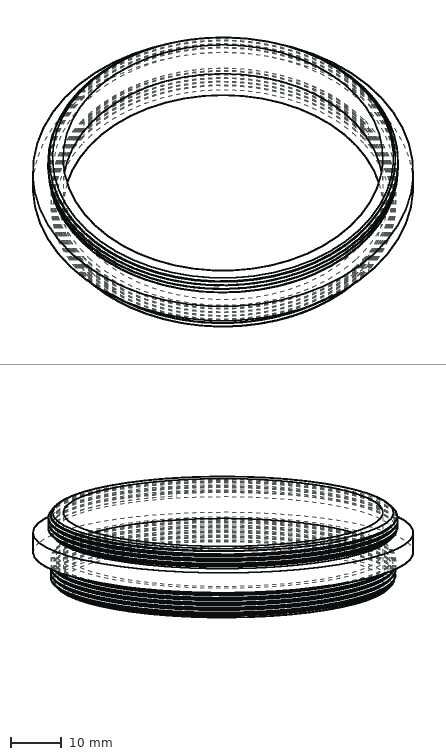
import cadquery as cq
import math


FLANGE_DIAMETER = 75.0
BORE_DIAMETER = 63.0
UPPER_THREAD_DIAMETER = 69.0
LOWER_THREAD_DIAMETER = 68.0
FLANGE_HEIGHT = 4.0
UPPER_THREAD_LENGTH = 4.05
LOWER_THREAD_LENGTH = 6.0
TURNS_IN_LOWER_THREAD = 6
END_CHAMFER = 0.9
GROOVE_OVERSHOOT = 0.04

PITCH = LOWER_THREAD_LENGTH / TURNS_IN_LOWER_THREAD
ROOT_WIDTH = PITCH / 4
THREAD_DEPTH = 5 / 8 * PITCH * math.cos(math.radians(30))
FLANK_SLOPE = math.tan(math.radians(30))


def chamfered_cylinder(radius, bottom, height):
    """Cylinder with both end edges bevelled."""
    cylinder = cq.Workplane("XY").workplane(offset=bottom).circle(radius).extrude(height)
    return cylinder.faces("|Z").edges().chamfer(END_CHAMFER)


def groove_turn(crest_radius, start):
    """One full turn of the helical V groove, beginning on +X at the start level."""
    root_radius = crest_radius - THREAD_DEPTH
    mouth_radius = crest_radius + GROOVE_OVERSHOOT
    half_root = ROOT_WIDTH / 2
    half_mouth = half_root + (mouth_radius - root_radius) * FLANK_SLOPE
    helix = cq.Wire.makeHelix(PITCH, PITCH, root_radius, center=cq.Vector(0, 0, start))
    profile = cq.Workplane("XZ").polyline([
        (root_radius, start - half_root),
        (mouth_radius, start - half_mouth),
        (mouth_radius, start + half_mouth),
        (root_radius, start + half_root),
    ]).close()
    return profile.sweep(cq.Workplane(obj=helix), isFrenet=True)


def threaded_rod(diameter, bottom, height):
    """Solid male thread with bevelled ends and a crest on +X at the bottom level."""
    crest_radius = diameter / 2
    rod = chamfered_cylinder(crest_radius, bottom, height)
    turns = math.ceil(height / PITCH)
    for turn in range(turns):
        start = bottom + (turn - 1 / 2) * PITCH
        rod = rod.cut(groove_turn(crest_radius, start), clean=False)
    return rod


def bore(bottom, height):
    """Cylinder removed from a ring to open it up."""
    return cq.Workplane("XY").workplane(offset=bottom).circle(BORE_DIAMETER / 2).extrude(height)


def make_flanged_ring():
    flange = cq.Workplane("XY").circle(FLANGE_DIAMETER / 2).extrude(FLANGE_HEIGHT)
    thread = threaded_rod(UPPER_THREAD_DIAMETER, FLANGE_HEIGHT, UPPER_THREAD_LENGTH)
    flanged_rod = flange.union(thread, clean=False)
    return flanged_rod.cut(bore(0, FLANGE_HEIGHT + UPPER_THREAD_LENGTH), clean=False)


def make_lower_ring():
    thread = threaded_rod(LOWER_THREAD_DIAMETER, -LOWER_THREAD_LENGTH, LOWER_THREAD_LENGTH)
    return thread.cut(bore(-LOWER_THREAD_LENGTH, LOWER_THREAD_LENGTH), clean=False)


flanged_ring = make_flanged_ring()
lower_ring = make_lower_ring()

result = cq.Compound.makeCompound([*flanged_ring.solids().vals(), *lower_ring.solids().vals()])